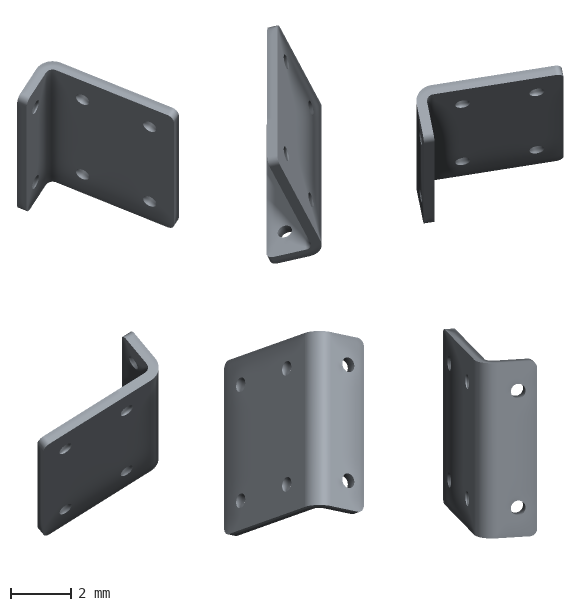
import cadquery as cq

width = 5.0
depth = 2.0
height = 6.0

thickness = 0.355
inner_bend_radius = 0.25
outer_bend_radius = inner_bend_radius + thickness
corner_radius = 0.25

hole_diameter = 0.5
hole_row_spacing = 4.0
plate_hole_spacing = 2.5
plate_hole_edge_distance = 0.9
flange_hole_edge_distance = 0.65

hole_heights = [height / 2 - hole_row_spacing / 2, height / 2 + hole_row_spacing / 2]
outer_hole_x = width - plate_hole_edge_distance
plate_hole_xs = [outer_hole_x - plate_hole_spacing, outer_hole_x]


def bent_sheet():
    """L-shaped sheet: wide plate along X at the back, flange along Y at X = 0."""
    sheet = (
        cq.Workplane("XY")
        .moveTo(0, 0)
        .lineTo(thickness, 0)
        .lineTo(thickness, depth - thickness)
        .lineTo(width, depth - thickness)
        .lineTo(width, depth)
        .lineTo(0, depth)
        .close()
        .extrude(height)
    )
    inner_edge = cq.selectors.NearestToPointSelector((thickness, depth - thickness, height / 2))
    outer_edge = cq.selectors.NearestToPointSelector((0, depth, height / 2))
    sheet = sheet.edges(inner_edge).fillet(inner_bend_radius)
    return sheet.edges(outer_edge).fillet(outer_bend_radius)


def round_free_corners(sheet):
    """Round the top and bottom corners at the free ends of plate and flange."""
    sheet = sheet.faces(">X").edges("|Y").fillet(corner_radius)
    return sheet.faces("<Y").edges("|X").fillet(corner_radius)


def plate_holes():
    """Cutters through the plate, along Y."""
    centers = [(x, z) for x in plate_hole_xs for z in hole_heights]
    return (
        cq.Workplane("XZ", origin=(0, depth, 0))
        .pushPoints(centers)
        .circle(hole_diameter / 2)
        .extrude(thickness)
    )


def flange_holes():
    """Cutters through the flange, along X."""
    centers = [(flange_hole_edge_distance, z) for z in hole_heights]
    return cq.Workplane("YZ").pushPoints(centers).circle(hole_diameter / 2).extrude(thickness)


result = round_free_corners(bent_sheet()).cut(plate_holes()).cut(flange_holes())